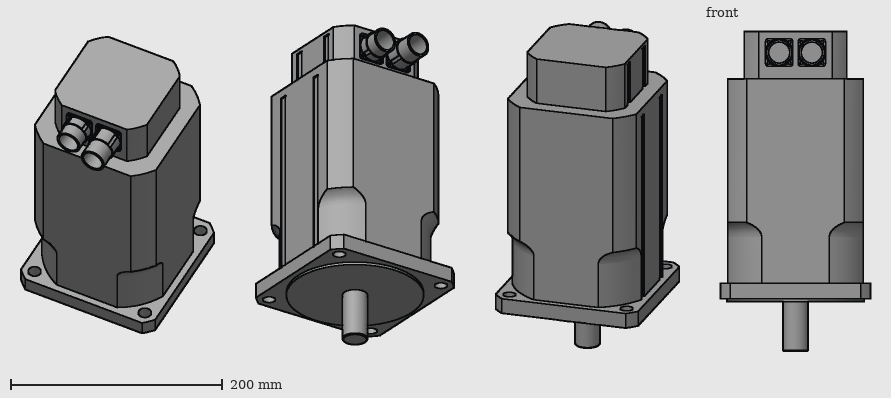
import cadquery as cq
import math

total_height = 302.0
pilot_bottom = 46.8
flange_bottom = 49.5
flange_top = 64.3
relief_straight_top = 108.0
relief_top = 121.7
housing_top = 257.3

flange_width = 142.0
flange_corner_diameter = 188.0
housing_width = 128.0
housing_corner_diameter = 158.0
relief_corner_diameter = 143.0
cap_width = 97.2
cap_corner_diameter = 119.3

pilot_diameter = 130.0
shaft_diameter = 24.0
shaft_chamfer = 1.0
mount_hole_diameter = 12.0
mount_hole_circle = 165.0

groove_width = 8.0
groove_depth = 1.5
housing_groove_offset = 27.0
housing_groove_top = 248.8
cap_groove_offset = 22.3
cap_groove_top = 298.0

connector_spacing = 30.8
connector_height = 282.0
plate_size = 26.0
plate_thickness = 2.0
plate_corner_radius = 3.0
screw_spacing = 19.5
screw_hole_diameter = 2.7
screw_channel_diameter = 4.2
barrel_diameter = 24.0
bore_diameter = 20.0
short_neck_end = 11.0
short_length = 23.5
long_neck_end = 17.2
long_length = 33.8


def cylinder(diameter, bottom, top):
    return cq.Workplane("XY").workplane(offset=bottom).circle(diameter / 2).extrude(top - bottom)


def round_cornered_block(width, corner_diameter, bottom, top):
    """Square block trimmed by a cylinder about the motor axis."""
    block = cq.Workplane("XY").workplane(offset=bottom).rect(width, width).extrude(top - bottom)
    return block.intersect(cylinder(corner_diameter, bottom, top))


def make_flange():
    flange = round_cornered_block(flange_width, flange_corner_diameter, flange_bottom, flange_top)
    hole_spacing = mount_hole_circle / math.sqrt(2)
    return (
        flange.faces(">Z").workplane()
        .rect(hole_spacing, hole_spacing, forConstruction=True)
        .vertices().hole(mount_hole_diameter)
    )


def make_corner_relief():
    """Ring that cuts the housing corners back above the mounting holes, ending in a concave sweep."""
    inner = relief_corner_diameter / 2
    outer = housing_corner_diameter / 2
    clear = housing_width / math.sqrt(2)
    sweep_rise = relief_top - relief_straight_top
    sweep_run = outer - inner
    sweep_radius = (sweep_rise**2 + sweep_run**2) / (2 * sweep_run)
    half_angle = math.asin(sweep_rise / sweep_radius) / 2
    sweep_middle = (
        inner + sweep_radius * (1 - math.cos(half_angle)),
        relief_straight_top + sweep_radius * math.sin(half_angle),
    )
    return (
        cq.Workplane("XZ")
        .moveTo(inner, flange_top)
        .lineTo(inner, relief_straight_top)
        .threePointArc(sweep_middle, (outer, relief_top))
        .lineTo(clear, relief_top)
        .lineTo(clear, flange_top)
        .close()
        .revolve(360, (0, 0, 0), (0, 1, 0))
    )


def make_grooves(body_width, offset, bottom, top):
    """Pair of vertical grooves in the -X face, one each side of the middle."""
    return (
        cq.Workplane("XY").workplane(offset=bottom)
        .pushPoints([(-body_width / 2, -offset), (-body_width / 2, offset)])
        .rect(2 * groove_depth, groove_width)
        .extrude(top - bottom)
    )


def make_housing():
    housing = round_cornered_block(housing_width, housing_corner_diameter, flange_top, housing_top)
    housing = housing.cut(make_corner_relief())
    return housing.cut(make_grooves(housing_width, housing_groove_offset, flange_top, housing_groove_top))


def make_cap():
    cap = round_cornered_block(cap_width, cap_corner_diameter, housing_top, total_height)
    return cap.cut(make_grooves(cap_width, cap_groove_offset, housing_top, cap_groove_top))


def make_motor():
    shaft = cylinder(shaft_diameter, 0, pilot_bottom).faces("<Z").chamfer(shaft_chamfer)
    pilot = cylinder(pilot_diameter, pilot_bottom, flange_bottom)
    return make_flange().union(pilot).union(shaft).union(make_housing()).union(make_cap())


def make_connector(center_x, neck_end, length):
    """Screwed plate, neck with screw channels, and hollow barrel, pointing along -Y from the cap."""
    mount = cq.Workplane("XZ", origin=(center_x, -cap_width / 2, connector_height))
    front_of_plate = mount.workplane(offset=plate_thickness)

    plate = mount.rect(plate_size, plate_size).extrude(plate_thickness)
    plate = plate.edges("|Y").fillet(plate_corner_radius)
    screw_holes = (
        mount.rect(screw_spacing, screw_spacing, forConstruction=True)
        .vertices().circle(screw_hole_diameter / 2).extrude(plate_thickness)
    )

    neck_length = neck_end - plate_thickness
    neck = front_of_plate.circle(plate_size / 2).extrude(neck_length)
    screw_channels = (
        front_of_plate.rect(screw_spacing, screw_spacing, forConstruction=True)
        .vertices().circle(screw_channel_diameter / 2).extrude(neck_length)
    )

    barrel = mount.workplane(offset=neck_end).circle(barrel_diameter / 2).extrude(length - neck_end)
    bore = front_of_plate.circle(bore_diameter / 2).extrude(length - plate_thickness)

    shell = neck.cut(screw_channels).union(barrel).cut(bore)
    return plate.cut(screw_holes).union(shell)


motor = make_motor()

connectors = []
for side, neck_end, length in [(-1, short_neck_end, short_length), (1, long_neck_end, long_length)]:
    connectors.append(make_connector(side * connector_spacing / 2, neck_end, length).val())

result = cq.Compound.makeCompound([motor.val(), *connectors])